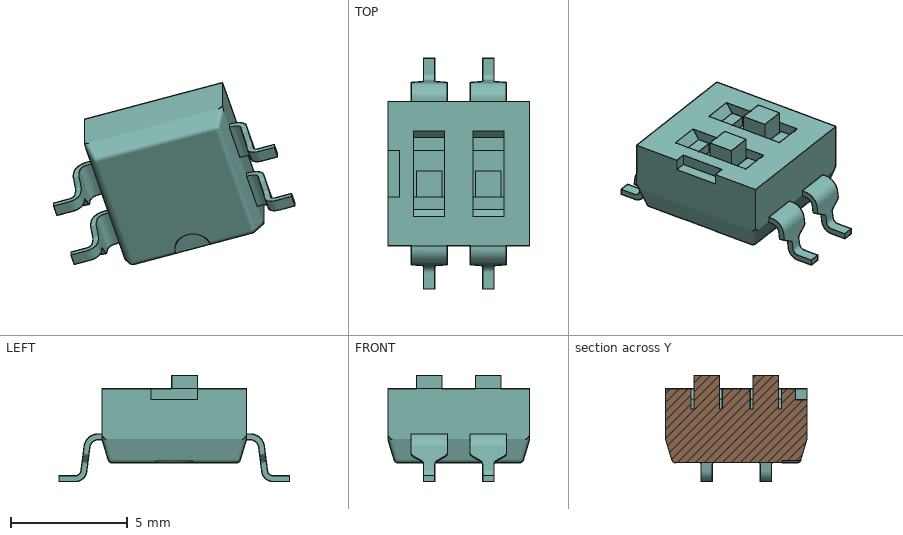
import cadquery as cq
import math

body_width = 6.08
body_length = 6.2
body_top = 3.99
body_bottom = 0.8
fold_height = 1.81
taper_angle = 16.7
edge_radius = 0.2

pitch = 2.53
switch_positions = [-pitch / 2, pitch / 2]

slot_width = 1.33
slot_top_length = 3.66
slot_floor_length = 3.09
slot_depth = 0.44
pocket_length = 2.0
pocket_depth = 2 * slot_depth
knob_size = 1.11
knob_top = 4.55

notch_inset = 0.495
notch_length = pocket_length
notch_depth = 0.48

recess_radius = 0.77
recess_depth = 0.09

lead_span = 9.9
lead_thickness = 0.26
lead_top = 2.05
lead_underside = lead_top - lead_thickness
lead_tilt = 7.2
shoulder_reach = 3.8
lead_embed = 0.2
upper_bend_radius = 0.36
lower_bend_radius = 0.25
pad_width = 1.55
pin_width = 0.495
pad_bottom = 1.16
neck_bottom = 0.85
neck_radius = 0.15


def make_body():
    """Straight block whose lower part is cut to a tapered, rounded tub."""
    block = cq.Workplane("XY").workplane(offset=body_bottom).rect(body_width, body_length)
    block = block.extrude(body_top - body_bottom)
    flare = 2 * (body_top - fold_height) * math.tan(math.radians(taper_angle))
    tub = (
        cq.Workplane("XY")
        .workplane(offset=body_top)
        .rect(body_width + flare, body_length + flare)
        .extrude(body_bottom - body_top, taper=taper_angle)
        .edges("not(>Z)")
        .fillet(edge_radius)
    )
    return block.intersect(tub)


def make_notch():
    """Block centred on the top -X edge, so half its width and height cut the body."""
    corner = cq.Workplane("XY", origin=(-body_width / 2, 0, body_top))
    return corner.box(2 * notch_inset, notch_length, 2 * notch_depth)


def make_recess():
    """Disc centred on the sharp line where the -X taper would meet the underside."""
    center_x = -body_width / 2 + (fold_height - body_bottom) * math.tan(math.radians(taper_angle))
    floor = body_bottom + recess_depth
    return cq.Workplane("XY", origin=(center_x, 0, floor)).circle(recess_radius).extrude(-2 * recess_depth)


def make_window(x):
    """Window with sloping ends and a deeper pocket in the middle of its floor."""
    floor = body_top - slot_depth
    return (
        cq.Workplane("YZ")
        .workplane(offset=x - slot_width / 2)
        .moveTo(-slot_top_length / 2, body_top)
        .lineTo(-slot_floor_length / 2, floor)
        .lineTo(-pocket_length / 2, floor)
        .lineTo(-pocket_length / 2, body_top - pocket_depth)
        .lineTo(pocket_length / 2, body_top - pocket_depth)
        .lineTo(pocket_length / 2, floor)
        .lineTo(slot_floor_length / 2, floor)
        .lineTo(slot_top_length / 2, body_top)
        .close()
        .extrude(slot_width)
    )


def make_knob(x):
    """Square slider standing on the pocket floor against the pocket's -Y end."""
    y = (knob_size - pocket_length) / 2
    base = body_top - pocket_depth
    return cq.Workplane("XY", origin=(x, y, base)).rect(knob_size, knob_size).extrude(knob_top - base)


def round_bend(solid, y, z, radius):
    """Fillet the edge along X that lies at (y, z)."""
    return solid.edges(cq.selectors.NearestToPointSelector((0, y, z))).fillet(radius)


def make_lead():
    """Lead on the +Y side, centred on X = 0."""
    slope = math.tan(math.radians(lead_tilt))
    shank_thickness_y = lead_thickness / math.cos(math.radians(lead_tilt))

    def outer_y(z):
        return shoulder_reach + (lead_top - z) * slope

    def inner_y(z):
        return outer_y(z) - shank_thickness_y

    root = body_length / 2 - lead_embed
    tip = lead_span / 2
    strip = (
        cq.Workplane("YZ")
        .workplane(offset=-pad_width / 2)
        .moveTo(root, lead_top)
        .lineTo(outer_y(lead_top), lead_top)
        .lineTo(outer_y(lead_thickness), lead_thickness)
        .lineTo(tip, lead_thickness)
        .lineTo(tip, 0)
        .lineTo(inner_y(0), 0)
        .lineTo(inner_y(lead_underside), lead_underside)
        .lineTo(root, lead_underside)
        .close()
        .extrude(pad_width)
    )

    strip = round_bend(strip, outer_y(lead_top), lead_top, upper_bend_radius + lead_thickness)
    strip = round_bend(strip, inner_y(lead_underside), lead_underside, upper_bend_radius)
    strip = round_bend(strip, outer_y(lead_thickness), lead_thickness, lower_bend_radius)
    strip = round_bend(strip, inner_y(0), 0, lower_bend_radius + lead_thickness)

    half_pad = pad_width / 2
    half_pin = pin_width / 2
    outline_top = 2 * lead_top
    outline_bottom = -lead_top
    outline = (
        cq.Workplane("XZ")
        .moveTo(-half_pad, outline_top)
        .lineTo(half_pad, outline_top)
        .lineTo(half_pad, pad_bottom)
        .lineTo(half_pin, neck_bottom)
        .lineTo(half_pin, outline_bottom)
        .lineTo(-half_pin, outline_bottom)
        .lineTo(-half_pin, neck_bottom)
        .lineTo(-half_pad, pad_bottom)
        .close()
        .extrude(-lead_span)
    )
    neck_zone = cq.selectors.BoxSelector(
        (-pad_width, 0, neck_bottom - neck_radius),
        (pad_width, lead_span, pad_bottom + neck_radius),
    )
    outline = outline.edges("|Y").edges(neck_zone).fillet(neck_radius)
    pivot_y = outer_y(pad_bottom)
    outline = outline.rotate((0, pivot_y, pad_bottom), (1, pivot_y, pad_bottom), lead_tilt)
    return strip.intersect(outline)


result = make_body().cut(make_notch()).cut(make_recess())
lead = make_lead()
for x in switch_positions:
    result = result.cut(make_window(x)).union(make_knob(x))
    result = result.union(lead.translate((x, 0, 0)))
    result = result.union(lead.mirror("XZ").translate((x, 0, 0)))